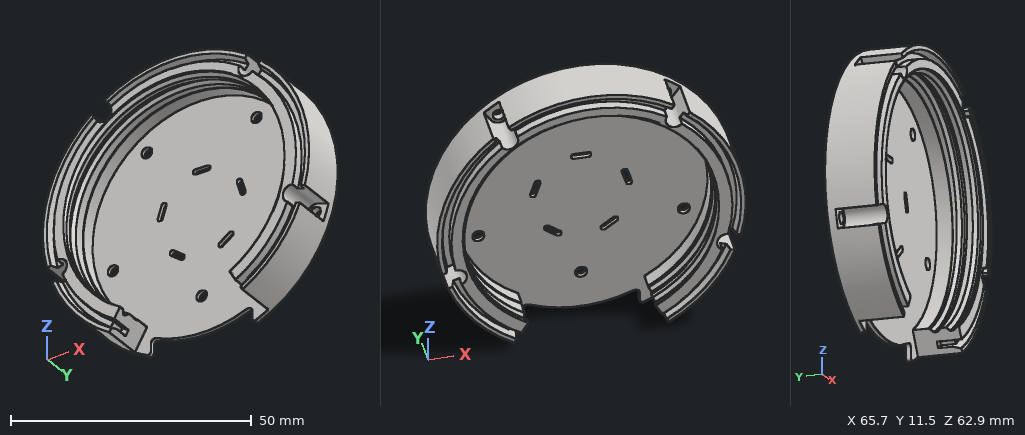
import math

import cadquery as cq


outer_radius = 32.87
plate_thickness = 1.2
recess_radius = 28.9
recess_half_width = 12.5
recess_corner_radius = 1.0
lug_tip_radius = 0.65

total_height = 11.5
rim_height = 11.1
bore_radius = 26.9
gap_center_angle = -90
gap_half_angle = 30

groove_inner_radius = 29.9
groove_floor_outer_radius = 31.3
groove_mouth_outer_radius = 31.85
groove_floor_height = 9.3

end_pocket_angle = 3.4
end_pocket_floor_height = 6.0

thread_bore_radius = 27.05
thread_seat_height = 4.75
thread_pitch = 3.6
thread_depth = 0.8
thread_mouth_width = 2.3
thread_root_width = 0.6
thread_start_angle = -90
thread_exit_angle = 115
thread_turns = 3
thread_clearance = 0.3

hole_diameter = 2.5
feature_pitch_angle = 72
screw_circle_radius = 30.1
screw_angles = [-18 + feature_pitch_angle * i for i in range(4)]
channel_radius = 2.0
channel_floor_height = 2.0
plate_hole_circle_radius = 23.0
bottom_hole_radius = 20.0
vent_circle_radius = 10.25
vent_length = 4.2
vent_width = 1.2
vent_angles = [18 + feature_pitch_angle * i for i in range(5)]


def polar(radius, angle):
    """Point at a radius and an angle in degrees."""
    return (radius * math.cos(math.radians(angle)), radius * math.sin(math.radians(angle)))


def sector(center_angle, half_angle, bottom, top):
    """Wedge from the axis to beyond the outer wall, between two heights."""
    reach = 2 * outer_radius
    return (
        cq.Workplane("XY")
        .workplane(offset=bottom)
        .lineTo(*polar(reach, center_angle - half_angle))
        .lineTo(*polar(reach, center_angle + half_angle))
        .close()
        .extrude(top - bottom)
    )


def ring(outer, inner, bottom, top):
    """Plain tube between two heights."""
    return cq.Workplane("XY").workplane(offset=bottom).circle(outer).circle(inner).extrude(top - bottom)


def make_plate():
    """Round plate whose lower edge is set back between two lugs."""
    plate = cq.Workplane("XY").circle(outer_radius).extrude(plate_thickness)
    strip = (
        cq.Workplane("XY")
        .center(0, -outer_radius)
        .rect(2 * recess_half_width, outer_radius)
        .extrude(plate_thickness)
    )
    recess = strip.cut(cq.Workplane("XY").circle(recess_radius).extrude(plate_thickness))
    plate = plate.cut(recess)

    corner_y = -math.sqrt(recess_radius**2 - recess_half_width**2)
    tip_y = -math.sqrt(outer_radius**2 - recess_half_width**2)
    return round_plate_edges(
        round_plate_edges(plate, corner_y, recess_corner_radius), tip_y, lug_tip_radius
    )


def round_plate_edges(plate, edge_y, radius):
    """Round the two upright plate edges on the recess sides at a given Y."""
    for edge_x in (-recess_half_width, recess_half_width):
        middle = (edge_x, edge_y, plate_thickness / 2)
        plate = plate.edges(cq.selectors.NearestToPointSelector(middle)).fillet(radius)
    return plate


def make_wall():
    """Ring wall with its stepped, grooved front edge and the gap."""
    profile = [
        (bore_radius, 0),
        (outer_radius, 0),
        (outer_radius, rim_height),
        (groove_mouth_outer_radius, rim_height),
        (groove_floor_outer_radius, groove_floor_height),
        (groove_inner_radius, groove_floor_height),
        (groove_inner_radius, total_height),
        (thread_bore_radius, total_height),
        (thread_bore_radius, thread_seat_height),
        (bore_radius, thread_seat_height),
    ]
    wall = cq.Workplane("XZ").polyline(profile).close().revolve(360, (0, 0, 0), (0, 1, 0))
    return wall.cut(sector(gap_center_angle, gap_half_angle, 0, total_height))


def make_end_pockets():
    """Deepened groove at both ends of the wall."""
    pocket = ring(
        groove_floor_outer_radius, groove_inner_radius, end_pocket_floor_height, groove_floor_height
    )
    return pocket.intersect(
        sector(
            gap_center_angle,
            gap_half_angle + end_pocket_angle,
            end_pocket_floor_height,
            groove_floor_height,
        )
    )


def make_thread():
    """Right-handed helical groove that runs out through the front face."""
    turns_to_front = (thread_exit_angle - thread_start_angle) / 360 + 1
    start_height = total_height - turns_to_front * thread_pitch
    slope = (thread_mouth_width - thread_root_width) / 2 / thread_depth
    inner_half_width = thread_mouth_width / 2 + slope * thread_clearance
    inner_radius = thread_bore_radius - thread_clearance
    root_radius = thread_bore_radius + thread_depth
    path = cq.Wire.makeHelix(thread_pitch, thread_turns * thread_pitch, thread_bore_radius)
    groove = (
        cq.Workplane("XZ")
        .moveTo(inner_radius, -inner_half_width)
        .lineTo(root_radius, -thread_root_width / 2)
        .lineTo(root_radius, thread_root_width / 2)
        .lineTo(inner_radius, inner_half_width)
        .close()
        .sweep(cq.Workplane(path), isFrenet=True)
    )
    return groove.rotate((0, 0, 0), (0, 0, 1), thread_start_angle).translate((0, 0, start_height))


def make_screw_channel(angle):
    """Round-ended channel, open to the outside, above a screw hole."""
    channel_height = total_height - channel_floor_height
    channel_length = outer_radius - screw_circle_radius + channel_radius
    base = cq.Workplane("XY").workplane(offset=channel_floor_height)
    round_end = base.center(screw_circle_radius, 0).circle(channel_radius).extrude(channel_height)
    opening = (
        base.center(screw_circle_radius + channel_length / 2, 0)
        .rect(channel_length, 2 * channel_radius)
        .extrude(channel_height)
    )
    return round_end.union(opening).rotate((0, 0, 0), (0, 0, 1), angle)


def make_holes():
    """Screw holes and plate holes, all of one diameter."""
    centers = [polar(screw_circle_radius, angle) for angle in screw_angles]
    centers += [polar(plate_hole_circle_radius, angle) for angle in screw_angles]
    centers.append(polar(bottom_hole_radius, gap_center_angle))
    return cq.Workplane("XY").pushPoints(centers).circle(hole_diameter / 2).extrude(total_height)


def make_vent(angle):
    """Slot through the plate, lying across its radius."""
    return (
        cq.Workplane("XY")
        .center(vent_circle_radius, 0)
        .slot2D(vent_length, vent_width, 90)
        .extrude(plate_thickness)
        .rotate((0, 0, 0), (0, 0, 1), angle)
    )


body = make_plate().union(make_wall())
body = body.cut(make_thread())
body = body.cut(make_end_pockets())
for screw_angle in screw_angles:
    body = body.cut(make_screw_channel(screw_angle))
body = body.cut(make_holes())
for vent_angle in vent_angles:
    body = body.cut(make_vent(vent_angle))

result = body.rotate((0, 0, 0), (1, 0, 0), 90)